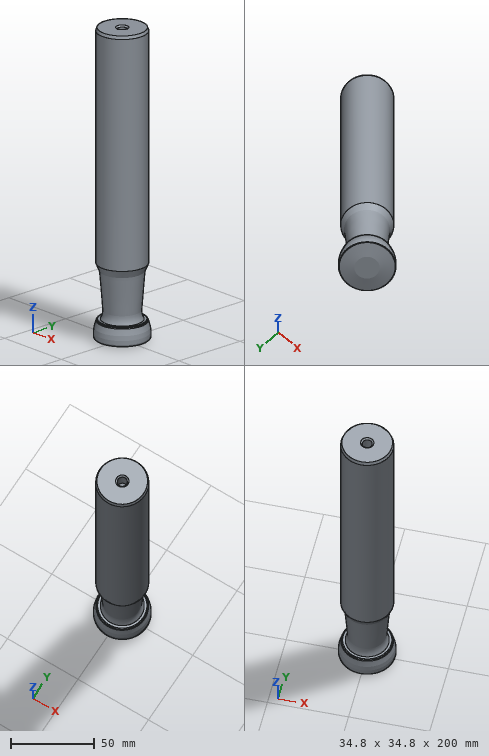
import cadquery as cq

OVERALL_HEIGHT = 200
SHANK_RADIUS = 32 / 2
SHANK_BOTTOM_Z = 49.5
TOP_CHAMFER_HEIGHT = 2
TOP_CHAMFER_WIDTH = 0.8

HOLE_RADIUS = 6 / 2
HOLE_MOUTH_RADIUS = 8 / 2
HOLE_DEPTH = 10
HOLE_TIP_DEPTH = 1.2

SHOULDER_BOTTOM_Z = 44.4
SHOULDER_BOTTOM_RADIUS = 13.8
TAPER_TOP_Z = 42.4
TAPER_TOP_RADIUS = 13.5
TAPER_BOTTOM_Z = 19.2
TAPER_BOTTOM_RADIUS = 11.8
FLARE_RADIUS = 13.2
FLARE_BULGE = 0.4

HEAD_TOP_Z = 13.5
HEAD_TOP_RADIUS = 14.8
TOP_BEVEL_MIDDLE_RADIUS = 15.4
TOP_BEVEL_MIDDLE_Z = 13.2
UPPER_CONE_TOP_RADIUS = 15.8
UPPER_CONE_TOP_Z = 12.5
UPPER_CONE_BOTTOM_Z = 8.4
UPPER_CONE_BOTTOM_RADIUS = 17.0
LOWER_CONE_BOTTOM_Z = 5.4
HEAD_RADIUS = 34.8 / 2
RIM_Z = 2.8
BOTTOM_BEVEL_MIDDLE_RADIUS = 17.2
BOTTOM_BEVEL_MIDDLE_Z = 2
UNDERSIDE_RADIUS = 16.8
UNDERSIDE_Z = 1.5
BOTTOM_FLAT_RADIUS = 7.5


def revolve_profile(profile):
    """Turn a closed half-section, drawn as (radius, height), about the Z axis."""
    return profile.close().revolve(360, (0, 0, 0), (0, 1, 0))


def make_shank():
    flare_start = (FLARE_RADIUS, HEAD_TOP_Z)
    flare_end = (TAPER_BOTTOM_RADIUS, TAPER_BOTTOM_Z)
    mouth_depth = HOLE_MOUTH_RADIUS - HOLE_RADIUS
    hole_floor_z = OVERALL_HEIGHT - HOLE_DEPTH
    return revolve_profile(
        cq.Workplane("XZ")
        .moveTo(0, HEAD_TOP_Z)
        .lineTo(*flare_start)
        .sagittaArc(flare_end, FLARE_BULGE)
        .lineTo(TAPER_TOP_RADIUS, TAPER_TOP_Z)
        .lineTo(SHOULDER_BOTTOM_RADIUS, SHOULDER_BOTTOM_Z)
        .lineTo(SHANK_RADIUS, SHANK_BOTTOM_Z)
        .lineTo(SHANK_RADIUS, OVERALL_HEIGHT - TOP_CHAMFER_HEIGHT)
        .lineTo(SHANK_RADIUS - TOP_CHAMFER_WIDTH, OVERALL_HEIGHT)
        .lineTo(HOLE_MOUTH_RADIUS, OVERALL_HEIGHT)
        .lineTo(HOLE_RADIUS, OVERALL_HEIGHT - mouth_depth)
        .lineTo(HOLE_RADIUS, hole_floor_z)
        .lineTo(0, hole_floor_z - HOLE_TIP_DEPTH)
    )


def make_head():
    return revolve_profile(
        cq.Workplane("XZ")
        .lineTo(0, HEAD_TOP_Z)
        .lineTo(HEAD_TOP_RADIUS, HEAD_TOP_Z)
        .lineTo(TOP_BEVEL_MIDDLE_RADIUS, TOP_BEVEL_MIDDLE_Z)
        .lineTo(UPPER_CONE_TOP_RADIUS, UPPER_CONE_TOP_Z)
        .lineTo(UPPER_CONE_BOTTOM_RADIUS, UPPER_CONE_BOTTOM_Z)
        .lineTo(HEAD_RADIUS, LOWER_CONE_BOTTOM_Z)
        .lineTo(HEAD_RADIUS, RIM_Z)
        .lineTo(BOTTOM_BEVEL_MIDDLE_RADIUS, BOTTOM_BEVEL_MIDDLE_Z)
        .lineTo(UNDERSIDE_RADIUS, UNDERSIDE_Z)
        .lineTo(BOTTOM_FLAT_RADIUS, 0)
    )


shank = make_shank()
head = make_head()
result = cq.Compound.makeCompound([shank.val(), head.val()])